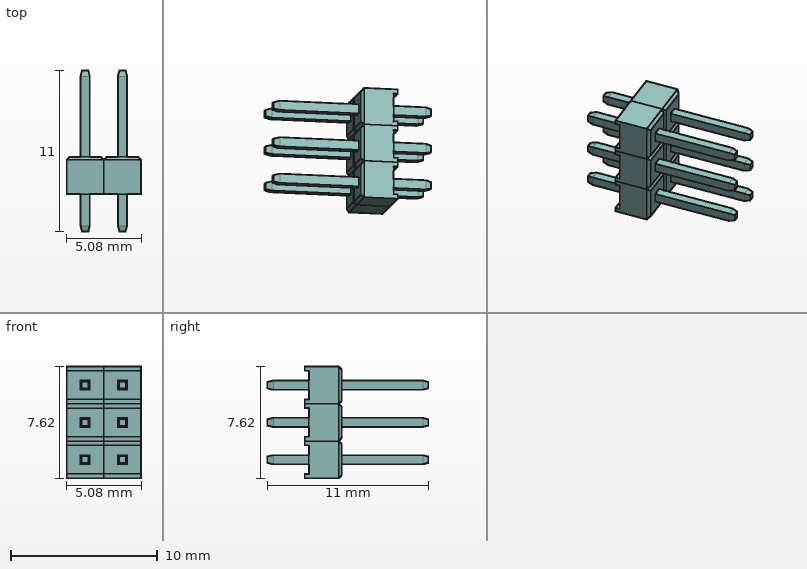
import cadquery as cq

PITCH = 2.54
COLUMNS = 2
ROWS = 3

BLOCK_DEPTH = 2.54
BLOCK_CHAMFER = 0.2
FOOT_HEIGHT = 0.3
FOOT_DEPTH = 0.3

PIN_WIDTH = 0.64
TAIL_LENGTH = 2.54
POST_LENGTH = 5.9
TIP_LENGTH = 0.4
TIP_INSET = 0.1

pin_front = -TAIL_LENGTH
pin_back = BLOCK_DEPTH + POST_LENGTH
tip_width = PIN_WIDTH - 2 * TIP_INSET


def make_block():
    """Square insulator, chamfered around its back face, with a foot along the top and bottom of its front."""
    block = (
        cq.Workplane("XY")
        .box(PITCH, BLOCK_DEPTH, PITCH, centered=(True, False, True))
        .faces(">Y")
        .chamfer(BLOCK_CHAMFER)
    )
    gap_between_feet = cq.Workplane("XY").box(
        PITCH, FOOT_DEPTH, PITCH - 2 * FOOT_HEIGHT, centered=(True, False, True)
    )
    return block.cut(gap_between_feet)


def make_tip(base_y, end_y):
    """Square taper that narrows from the pin width at base_y to the tip width at end_y."""
    base = cq.Workplane("XZ", origin=(0, base_y, 0)).rect(PIN_WIDTH, PIN_WIDTH)
    return base.workplane(offset=base_y - end_y).rect(tip_width, tip_width).loft(ruled=True)


def make_pin():
    """Square shank with a taper on both ends."""
    shank_front = pin_front + TIP_LENGTH
    shank_back = pin_back - TIP_LENGTH
    shank = cq.Workplane("XZ", origin=(0, shank_back, 0)).rect(PIN_WIDTH, PIN_WIDTH)
    shank = shank.extrude(shank_back - shank_front)
    return shank.union(make_tip(shank_front, pin_front)).union(make_tip(shank_back, pin_back))


def make_cell(column, row):
    """One header cell: a block and its pin as a single solid, placed on the pitch grid."""
    x = (column - (COLUMNS - 1) / 2) * PITCH
    z = (row - (ROWS - 1) / 2) * PITCH
    return make_block().union(make_pin()).translate((x, 0, z))


cells = []
for column in range(COLUMNS):
    for row in range(ROWS):
        cells.append(make_cell(column, row).solids().val())

result = cq.Compound.makeCompound(cells)